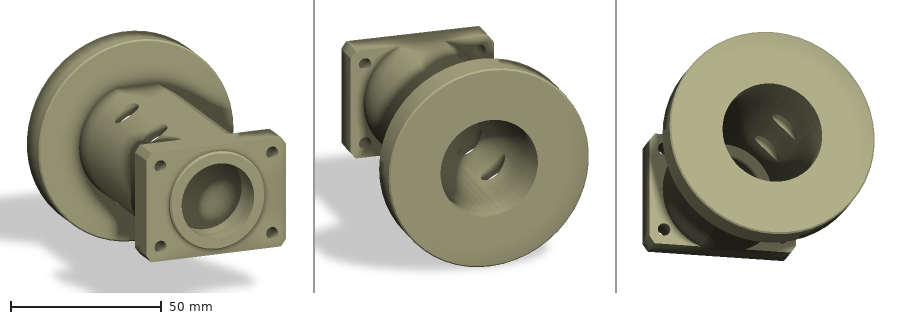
import cadquery as cq

total_length = 82.5
flange_thickness = 11.0
plate_thickness = 10.0
spigot_length = 1.5
plate_end = total_length - spigot_length
plate_start = plate_end - plate_thickness

flange_diameter = 70.0
body_diameter = 41.0
bore_diameter = 34.0
spigot_diameter = bore_diameter
outlet_diameter = 26.0
edge_chamfer = 0.5

plate_width = 50.0
plate_height = 38.0
plate_corner_diameter = 60.0
bolt_diameter = 4.2
bolt_spacing_y = 40.0
bolt_spacing_z = 28.0

cross_hole_diameter = 8.0
cross_hole_y = -11.2
first_cross_hole_x = 30.1
cross_hole_pitch = 25.1
cross_hole_count = 2

bore_depth = plate_start


def cylinder(start, length, diameter):
    """Cylinder along X from the given start."""
    return cq.Workplane("YZ", origin=(start, 0, 0)).circle(diameter / 2).extrude(length)


def plate_block(start, length, width):
    """Block centred on the X axis, as tall as the mounting plate."""
    return cq.Workplane("YZ", origin=(start, 0, 0)).rect(width, plate_height).extrude(length)


def make_flange():
    return cylinder(0, flange_thickness, flange_diameter).edges().chamfer(edge_chamfer)


def make_body():
    """Tube with flats on its top and bottom, level with the plate."""
    length = plate_start - flange_thickness
    tube = cylinder(flange_thickness, length, body_diameter)
    return tube.intersect(plate_block(flange_thickness, length, body_diameter))


def make_plate():
    """Mounting plate with rounded corners and four bolt holes."""
    plate = plate_block(plate_start, plate_thickness, plate_width)
    plate = plate.intersect(cylinder(plate_start, plate_thickness, plate_corner_diameter))
    bolts = (
        cq.Workplane("YZ", origin=(plate_start, 0, 0))
        .rect(bolt_spacing_y, bolt_spacing_z, forConstruction=True)
        .vertices()
        .circle(bolt_diameter / 2)
        .extrude(plate_thickness)
    )
    return plate.cut(bolts)


def make_spigot():
    spigot = cylinder(plate_end, spigot_length, spigot_diameter)
    return spigot.faces(">X").edges().chamfer(edge_chamfer)


def make_bore():
    """Wide bore, then a narrower outlet with a chamfered mouth at the step."""
    wide = cylinder(0, bore_depth, bore_diameter)
    mouth = (
        cq.Workplane("YZ", origin=(bore_depth, 0, 0))
        .circle(outlet_diameter / 2 + edge_chamfer)
        .workplane(offset=edge_chamfer)
        .circle(outlet_diameter / 2)
        .loft()
    )
    outlet = cylinder(bore_depth, total_length - bore_depth, outlet_diameter)
    return wide.union(mouth).union(outlet)


def make_cross_holes():
    hole_xs = [first_cross_hole_x + i * cross_hole_pitch for i in range(cross_hole_count)]
    return (
        cq.Workplane("XY", origin=(0, 0, -plate_height / 2))
        .pushPoints([(x, cross_hole_y) for x in hole_xs])
        .circle(cross_hole_diameter / 2)
        .extrude(plate_height)
    )


solid = make_flange().union(make_body()).union(make_plate()).union(make_spigot())
result = solid.cut(make_bore()).cut(make_cross_holes())